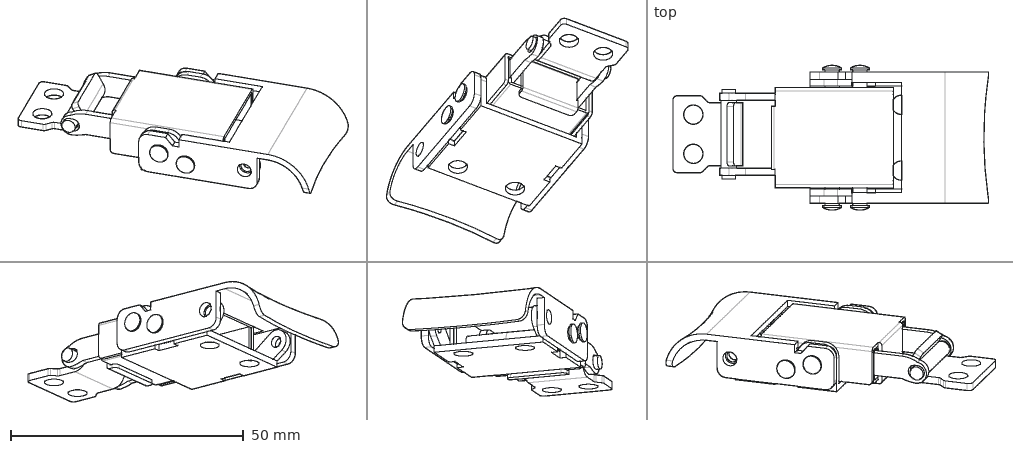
import cadquery as cq
import math


base_pivot = (34.2, 6.4)
lever_pivot = (40.15, 4.7)
pivot_radius = 1.55
pivot_head_radius = 2.05
pivot_half_length = 15.57
head_inner_y = 14.6
head_rim_y = 15.0

base_start = 29.45
base_end = 52.45
base_wall = 1.4
base_half_width = 12.5
base_inner_half = base_half_width - base_wall
base_top = 10.5
front_ear_end = 38.4
front_ear_radius = 3.0
rear_ear_start = 43.5
rear_ear_radius = 2.7
floor_hole_x = 49.05
floor_hole_y = 7.05
floor_hole_radius = 2.05

safety_hole = (53.2, 5.2)
lever_safety_radius = 1.55
base_safety_radius = 1.2

lever_start = base_start
lever_bottom = 0.8
lever_top = 10.25
lever_half_width = 14.1
lever_wall = 1.6
lever_plate = 1.4
lever_side_end = 56.1
lever_corner_radius = 2.05
notch_start = 35.5
notch_foot = 37.05
notch_end = 38.45
notch_floor = 8.4
window_half_width = 11.8
window_end = 49.1
lip_start = 58.5
lip_radius = 9.5
lip_end_z = 1.3
lip_corner_radius = 1.9
lip_hollow = 1.15

cover_start = 22.0
cover_end = 47.35
cover_wall = 0.8
cover_top = lever_top
cover_bottom = 1.8
cover_half_width = 10.8
cover_edge_radius = 0.75
cover_foot_radius = 0.8
tab_start = cover_start - cover_wall
tab_half_width = 6.8
tab_bottom = 0.8
tab_lip_end = 23.6
tab_bend_radius = 0.6
tab_lip_corner = 1.0

channel_wall = 0.7
channel_bottom = 1.75
channel_top = cover_top - cover_wall
channel_half_width = 9.9
channel_corner_radius = 0.55
channel_nose_radius = 0.7

link_y = 0.75
link_pin_x = 12.0
link_pin_z = 5.55
link_pin_radius = 1.5
link_pin_middle_radius = 1.7
link_pin_half_length = 9.6

arm_inner_y = 7.25
arm_thickness = 1.55
arm_bottom = 3.65
arm_top = 8.8
arm_bend_end = 15.6
arm_lower_bend = (14.25, 3.25)
arm_eye_x = 12.5
arm_eye_z = 5.4
arm_eye_radius = 2.45
arm_slot_travel = 0.7
arm_shoulder_angle = 100

strike_bottom = 2.5
strike_thickness = 1.6
strike_half_width = 8.3
strike_neck_half = 6.8
strike_shoulder = 6.2
strike_end_radius = 0.95
strike_shoulder_radius = 0.75
strike_hole_x = 4.4
strike_hole_y = 4.2
strike_hole_radius = 2.05
hook_inner_radius = 1.4
hook_outer_radius = hook_inner_radius + strike_thickness
hook_centre = (link_pin_x, strike_bottom + hook_outer_radius)
hook_end_angle = 30
hook_tip_length = 3.2
hook_tip_corner = 0.8


def slab(x0, x1, y0, y1, z0, z1):
    """Block between two opposite corners."""
    return cq.Workplane("XY").box(x1 - x0, y1 - y0, z1 - z0, centered=False).translate((x0, y0, z0))


def side_profile(y):
    """Workplane at the given Y whose local axes are X and Z; extruding goes toward -Y."""
    return cq.Workplane("XZ", origin=(0, y, 0))


def cross_rod(centre, radius, half_length, mid_y=0):
    """Round bar along Y, centred on mid_y."""
    return side_profile(mid_y + half_length).center(*centre).circle(radius).extrude(2 * half_length)


def on_circle(centre, radius, degrees):
    """Point of a circle in the XZ plane."""
    angle = math.radians(degrees)
    return (centre[0] + radius * math.cos(angle), centre[1] + radius * math.sin(angle))


def tangent_angle(point, centre, radius, side):
    """Angle at which a line from the point touches the circle, on side +1 or -1."""
    dx = point[0] - centre[0]
    dz = point[1] - centre[1]
    return math.degrees(math.atan2(dz, dx) + side * math.acos(radius / math.hypot(dx, dz)))


def cut_pivot_holes(body):
    """Opens the holes that both pivot pins pass through."""
    for centre in (base_pivot, lever_pivot):
        body = body.cut(cross_rod(centre, pivot_radius, pivot_half_length))
    return body


def make_pivot_pin(centre):
    """Pin with a neck and a domed head at either end."""
    profile = (
        cq.Workplane("XY")
        .moveTo(0, 0)
        .lineTo(pivot_radius, 0)
        .lineTo(pivot_radius, head_inner_y)
        .lineTo(pivot_head_radius, head_inner_y)
        .lineTo(pivot_head_radius, head_rim_y)
    )
    dome_rise = pivot_half_length - head_rim_y
    dome_radius = (pivot_head_radius**2 + dome_rise**2) / (2 * dome_rise)
    half = profile.radiusArc((0, pivot_half_length), -dome_radius).close().revolve(360, (0, 0), (0, 1))
    pin = half.union(half.mirror("XZ"))
    return pin.translate((centre[0], 0, centre[1]))


def make_front_ear():
    """Pivot ear with both upper corners rounded, on the +Y side."""
    return (
        slab(base_start, front_ear_end, base_inner_half, base_half_width, 0, base_top)
        .edges("|Y and >Z")
        .fillet(front_ear_radius)
    )


def make_rear_ear():
    """Ear that rises with straight flanks around the safety hole, on the +Y side."""
    front_foot = (rear_ear_start, base_wall)
    rear_foot = (base_end, base_wall)
    front_angle = tangent_angle(front_foot, safety_hole, rear_ear_radius, -1) + 360
    rear_angle = tangent_angle(rear_foot, safety_hole, rear_ear_radius, 1)
    crown_angle = (front_angle + rear_angle) / 2
    return (
        side_profile(base_half_width)
        .moveTo(rear_ear_start, 0)
        .lineTo(*front_foot)
        .lineTo(*on_circle(safety_hole, rear_ear_radius, front_angle))
        .threePointArc(
            on_circle(safety_hole, rear_ear_radius, crown_angle),
            on_circle(safety_hole, rear_ear_radius, rear_angle),
        )
        .lineTo(*rear_foot)
        .lineTo(base_end, 0)
        .close()
        .extrude(base_wall)
    )


def make_base():
    """Floor plate with a pair of pivot ears and a pair of safety ears."""
    base = slab(base_start, base_end, -base_inner_half, base_inner_half, 0, base_wall)
    for ear in (make_front_ear(), make_rear_ear()):
        base = base.union(ear).union(ear.mirror("XZ"))
    floor_holes = (
        cq.Workplane("XY")
        .pushPoints([(floor_hole_x, floor_hole_y), (floor_hole_x, -floor_hole_y)])
        .circle(floor_hole_radius)
        .extrude(base_wall)
    )
    base = base.cut(floor_holes)
    base = base.cut(cross_rod(safety_hole, base_safety_radius, base_half_width))
    return cut_pivot_holes(base)


def make_lever_side():
    """Side cheek of the lever, on the +Y side."""
    return slab(
        lever_start,
        lever_side_end,
        lever_half_width - lever_wall,
        lever_half_width,
        lever_bottom,
        lever_top,
    ).edges("|Y").edges("<X or <Z").fillet(lever_corner_radius)


def lip_section(y, hollow):
    """Closed wire of the finger lip across the given Y, drawn back from the tip by the hollow."""
    bend_centre = (lip_start, lever_top - lip_radius)
    inner_radius = lip_radius - lever_plate
    drop = lip_end_z - bend_centre[1]
    mid_angle = 45
    outer_mid = on_circle(bend_centre, lip_radius, mid_angle)
    inner_mid = on_circle(bend_centre, inner_radius, mid_angle)
    outer_end_x = lip_start + math.sqrt(lip_radius**2 - drop**2)
    inner_end_x = lip_start + math.sqrt(inner_radius**2 - drop**2)
    return (
        side_profile(y)
        .moveTo(lip_start, lever_top)
        .threePointArc((outer_mid[0] - hollow, outer_mid[1]), (outer_end_x - hollow, lip_end_z))
        .lineTo(inner_end_x - hollow, lip_end_z)
        .threePointArc((inner_mid[0] - hollow, inner_mid[1]), (lip_start, lever_top - lever_plate))
        .close()
        .val()
    )


def make_lever_lip():
    """Finger lip: a quarter bend, hollowed toward the middle and rounded at its two corners."""
    sections = [
        lip_section(-lever_half_width, 0),
        lip_section(0, lip_hollow),
        lip_section(lever_half_width, 0),
    ]
    envelope = (
        slab(lip_start, lip_start + lip_radius, -lever_half_width, lever_half_width, lip_end_z, lever_top)
        .edges("|X and <Z")
        .fillet(lip_corner_radius)
    )
    return cq.Workplane(cq.Solid.makeLoft(sections)).intersect(envelope)


def make_lever():
    """Two cheeks under a windowed top plate that ends in the finger lip."""
    side = make_lever_side()
    plate_bottom = lever_top - lever_plate
    plate = slab(notch_end, lip_start, -lever_half_width, lever_half_width, plate_bottom, lever_top)
    window = slab(notch_end, window_end, -window_half_width, window_half_width, plate_bottom, lever_top)
    lever = plate.cut(window).union(side).union(side.mirror("XZ")).union(make_lever_lip())
    notch = (
        side_profile(lever_half_width)
        .moveTo(notch_start, lever_top)
        .lineTo(notch_foot, notch_floor)
        .lineTo(notch_end, notch_floor)
        .lineTo(notch_end, lever_top)
        .close()
        .extrude(2 * lever_half_width)
    )
    lever = lever.cut(notch).cut(cross_rod(safety_hole, lever_safety_radius, lever_half_width))
    return cut_pivot_holes(lever)


def make_cover_tab():
    """Front wall of the cover, bent down from its top and hooked under the channel."""
    wall = slab(tab_start, cover_end, -tab_half_width, tab_half_width, tab_bottom, cover_top)
    wall = wall.edges("|Y and <X").fillet(tab_bend_radius)
    inside = slab(
        cover_start,
        cover_end,
        -tab_half_width,
        tab_half_width,
        tab_bottom + cover_wall,
        cover_top,
    )
    beyond_lip = slab(tab_lip_end, cover_end, -tab_half_width, tab_half_width, tab_bottom, cover_top)
    return wall.cut(inside).cut(beyond_lip).edges("|Z and >X").fillet(tab_lip_corner)


def make_cover(arms):
    """Inverted channel with a hooked front tab, relieved where an arm passes the tab."""
    inner_half = cover_half_width - cover_wall
    shell = slab(cover_start, cover_end, -cover_half_width, cover_half_width, cover_bottom, cover_top)
    shell = shell.edges("|X and >Z").fillet(cover_edge_radius)
    shell = shell.edges("|Y and <X and <Z").fillet(cover_foot_radius)
    hollow = slab(cover_start, cover_end, -inner_half, inner_half, cover_bottom, channel_top)
    cover = shell.cut(hollow).union(make_cover_tab())
    for arm in arms:
        cover = cover.cut(arm)
    return cut_pivot_holes(cover)


def make_channel(arms):
    """Upright channel inside the cover, relieved where an arm bears into its side."""
    inner_half = channel_half_width - channel_wall
    floor_top = channel_bottom + channel_wall
    channel = slab(
        cover_start,
        cover_end,
        -channel_half_width,
        channel_half_width,
        channel_bottom,
        channel_top,
    )
    channel = channel.edges("|X and <Z").fillet(channel_corner_radius)
    channel = channel.edges("|Y and <X and >Z").fillet(channel_nose_radius)
    channel = channel.cut(slab(cover_start, cover_end, -inner_half, inner_half, floor_top, channel_top))
    for arm in arms:
        channel = channel.cut(arm)
    return cut_pivot_holes(channel)


def make_arm(inner_y):
    """Flat link with a dropped, slotted eye at the strike and a round eye on the base pivot."""
    eye_centre = (arm_eye_x, arm_eye_z)
    end_radius = (arm_top - arm_bottom) / 2
    mid_z = (arm_top + arm_bottom) / 2
    blank = (
        side_profile(inner_y + arm_thickness)
        .moveTo(base_pivot[0], arm_top)
        .lineTo(arm_bend_end, arm_top)
        .tangentArcPoint(on_circle(eye_centre, arm_eye_radius, arm_shoulder_angle), relative=False)
        .threePointArc(
            on_circle(eye_centre, arm_eye_radius, 180),
            on_circle(eye_centre, arm_eye_radius, 270),
        )
        .threePointArc(arm_lower_bend, (arm_bend_end, arm_bottom))
        .lineTo(base_pivot[0], arm_bottom)
        .threePointArc((base_pivot[0] + end_radius, mid_z), (base_pivot[0], arm_top))
        .close()
        .extrude(arm_thickness)
    )
    slot = (
        side_profile(inner_y + arm_thickness)
        .center(link_pin_x + arm_slot_travel / 2, link_pin_z)
        .slot2D(2 * link_pin_radius + arm_slot_travel, 2 * link_pin_radius)
        .extrude(arm_thickness)
    )
    return cut_pivot_holes(blank.cut(slot))


def make_link_pin():
    """Stepped pin that joins the arms and lies in the strike's hook."""
    centre = (link_pin_x, link_pin_z)
    ends = cross_rod(centre, link_pin_radius, link_pin_half_length, link_y)
    middle = cross_rod(centre, link_pin_middle_radius, arm_inner_y, link_y)
    return ends.union(middle)


def make_strike(link_pin):
    """Mounting plate with two screw holes, whose narrow end curls up around the link pin."""
    neck_start = strike_shoulder + strike_half_width - strike_neck_half
    plate_top = strike_bottom + strike_thickness
    plate = (
        cq.Workplane("XY", origin=(0, link_y, strike_bottom))
        .polyline(
            [
                (0, strike_half_width),
                (strike_shoulder, strike_half_width),
                (neck_start, strike_neck_half),
                (hook_centre[0], strike_neck_half),
                (hook_centre[0], -strike_neck_half),
                (neck_start, -strike_neck_half),
                (strike_shoulder, -strike_half_width),
                (0, -strike_half_width),
            ]
        )
        .close()
        .extrude(strike_thickness)
    )
    shoulder_edges = plate.edges("|Z").edges("not (<X or >X)")
    plate = shoulder_edges.fillet(strike_shoulder_radius).edges("|Z and <X").fillet(strike_end_radius)
    screw_holes = (
        cq.Workplane("XY", origin=(strike_hole_x, link_y, strike_bottom))
        .pushPoints([(0, strike_hole_y), (0, -strike_hole_y)])
        .circle(strike_hole_radius)
        .extrude(strike_thickness)
    )
    bend_mid_angle = (hook_end_angle - 90) / 2
    outer_end = on_circle(hook_centre, hook_outer_radius, hook_end_angle)
    inner_end = on_circle(hook_centre, hook_inner_radius, hook_end_angle)
    tip_angle = hook_end_angle + 90
    outer_tip = on_circle(outer_end, hook_tip_length, tip_angle)
    inner_tip = on_circle(inner_end, hook_tip_length, tip_angle)
    hook = (
        side_profile(link_y + strike_neck_half)
        .moveTo(hook_centre[0], strike_bottom)
        .threePointArc(on_circle(hook_centre, hook_outer_radius, bend_mid_angle), outer_end)
        .lineTo(*outer_tip)
        .lineTo(*inner_tip)
        .lineTo(*inner_end)
        .threePointArc(
            on_circle(hook_centre, hook_inner_radius, bend_mid_angle),
            (hook_centre[0], plate_top),
        )
        .close()
        .extrude(2 * strike_neck_half)
    )
    tip_middle = ((outer_tip[0] + inner_tip[0]) / 2, (outer_tip[1] + inner_tip[1]) / 2)
    for y in (link_y + strike_neck_half, link_y - strike_neck_half):
        corner = cq.selectors.NearestToPointSelector((tip_middle[0], y, tip_middle[1]))
        hook = hook.edges(corner).fillet(hook_tip_corner)
    return plate.cut(screw_holes).union(hook).cut(link_pin)


pivot_pins = [make_pivot_pin(centre) for centre in (base_pivot, lever_pivot)]
base = make_base()
lever = make_lever()
arms = [make_arm(inner_y) for inner_y in (link_y + arm_inner_y, link_y - arm_inner_y - arm_thickness)]
cover = make_cover(arms)
channel = make_channel(arms)
link_pin = make_link_pin()
strike = make_strike(link_pin)

result = cq.Compound.makeCompound(
    [
        base.val(),
        lever.val(),
        cover.val(),
        channel.val(),
        strike.val(),
        link_pin.val(),
        *[arm.val() for arm in arms],
        *[pin.val() for pin in pivot_pins],
    ]
)